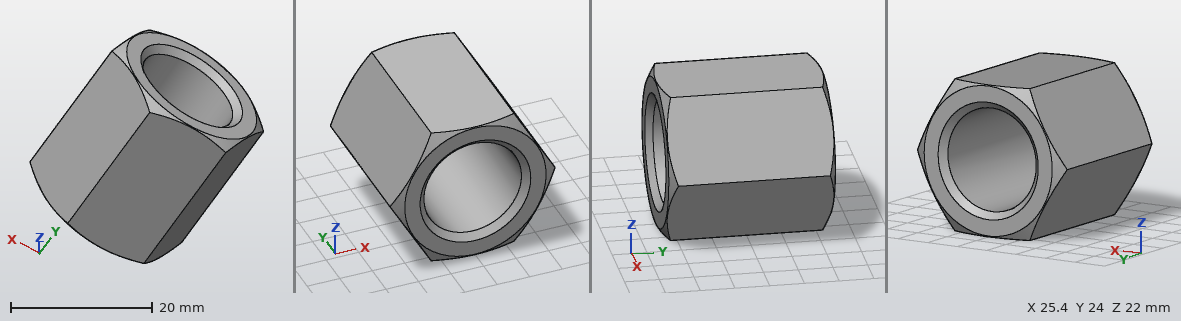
import cadquery as cq
import math

across_corners = 25.4
length = 24.0
face_diameter = 21.72
corner_chamfer_angle = 30.0
bore_diameter = 14.99
countersink_diameter = 17.0
countersink_angle = 45.0

corner_radius = across_corners / 2
half_length = length / 2


def turned_body(end_radius, middle_radius, end_angle):
    """Round body about Y whose radius changes along a cone at each end."""
    cone_depth = abs(middle_radius - end_radius) * math.tan(math.radians(end_angle))
    cone_start = half_length - cone_depth
    return (
        cq.Workplane("XY")
        .moveTo(0, -half_length)
        .lineTo(end_radius, -half_length)
        .lineTo(middle_radius, -cone_start)
        .lineTo(middle_radius, cone_start)
        .lineTo(end_radius, half_length)
        .lineTo(0, half_length)
        .close()
        .revolve(360, (0, 0, 0), (0, 1, 0))
    )


hexagon = cq.Workplane("XZ").polygon(6, across_corners).extrude(half_length, both=True)

chamfer_envelope = turned_body(face_diameter / 2, corner_radius, corner_chamfer_angle)

bore = turned_body(countersink_diameter / 2, bore_diameter / 2, countersink_angle)

result = hexagon.intersect(chamfer_envelope).cut(bore)